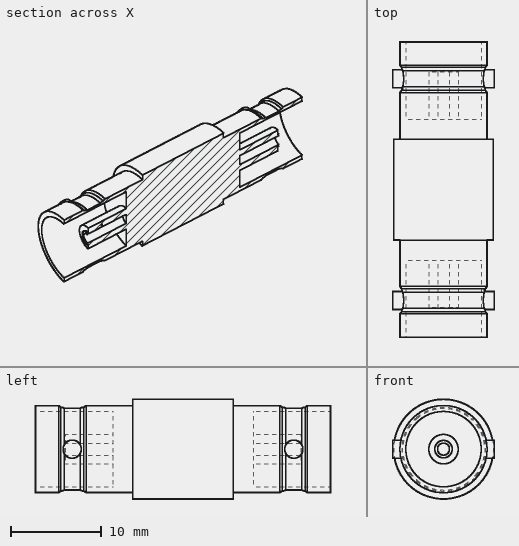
import cadquery as cq
import math

total_length = 32.51
pin_span = 11.18

collar_diameter = 11.0
collar_length = 11.1
barrel_diameter = 9.6
neck_diameter = 9.0

outer_bevel_start = 2.6
outer_bevel_end = 2.8
inner_bevel_end = 5.33
inner_bevel_start = 5.6
fillet_radius = 0.65
fillet_height = 0.12

pin_diameter = 2.0
pin_setback = 4.06

bore_diameter = 8.3
bore_depth = 8.5
insulator_diameter = 3.24
insulator_setback = 3.3
contact_diameter = 1.92
contact_protrusion = 0.1
contact_hole_diameter = 1.32

end_y = total_length / 2
barrel_radius = barrel_diameter / 2
neck_radius = neck_diameter / 2
fillet_top = neck_radius + fillet_height
fillet_run = math.sqrt(fillet_radius**2 - (fillet_radius - fillet_height) ** 2)
contact_setback = insulator_setback - contact_protrusion


def end_cylinder(diameter, setback, depth):
    """Cylinder on the axis of the +Y end, between two distances inward from the end face."""
    face = cq.Plane(origin=(0, end_y - setback, 0), xDir=(0, 0, 1), normal=(0, -1, 0))
    return cq.Workplane(face).circle(diameter / 2).extrude(depth - setback)


def make_collar():
    """Central collar, symmetric about the mid-plane."""
    start = cq.Workplane("ZX").workplane(offset=-collar_length / 2)
    return start.circle(collar_diameter / 2).extrude(collar_length)


def make_barrel():
    """Solid barrel with its bayonet groove, from the mid-plane to the +Y end."""
    return (
        cq.Workplane("ZY")
        .moveTo(0, end_y)
        .lineTo(barrel_radius, end_y)
        .lineTo(barrel_radius, end_y - outer_bevel_start)
        .lineTo(fillet_top, end_y - outer_bevel_end)
        .radiusArc((neck_radius, end_y - outer_bevel_end - fillet_run), fillet_radius)
        .lineTo(neck_radius, end_y - inner_bevel_end + fillet_run)
        .radiusArc((fillet_top, end_y - inner_bevel_end), fillet_radius)
        .lineTo(barrel_radius, end_y - inner_bevel_start)
        .lineTo(barrel_radius, 0)
        .lineTo(0, 0)
        .close()
        .revolve(360, (0, 0, 0), (0, 1, 0))
    )


def make_pins():
    """Bar along X whose two ends form the bayonet pins; the bore later clears its middle."""
    return (
        cq.Workplane("YZ")
        .center(end_y - pin_setback, 0)
        .circle(pin_diameter / 2)
        .extrude(pin_span / 2, both=True)
    )


def make_socket_end():
    """Complete +Y end: barrel, pins, open socket, insulator boss and centre contact."""
    bore = end_cylinder(bore_diameter, 0, bore_depth)
    insulator = end_cylinder(insulator_diameter, insulator_setback, bore_depth)
    contact = end_cylinder(contact_diameter, contact_setback, bore_depth)
    contact_hole = end_cylinder(contact_hole_diameter, contact_setback, bore_depth)
    shell = make_barrel().union(make_pins()).cut(bore)
    return shell.union(insulator).union(contact).cut(contact_hole)


socket_end = make_socket_end()
result = make_collar().union(socket_end).union(socket_end.mirror("XZ"))